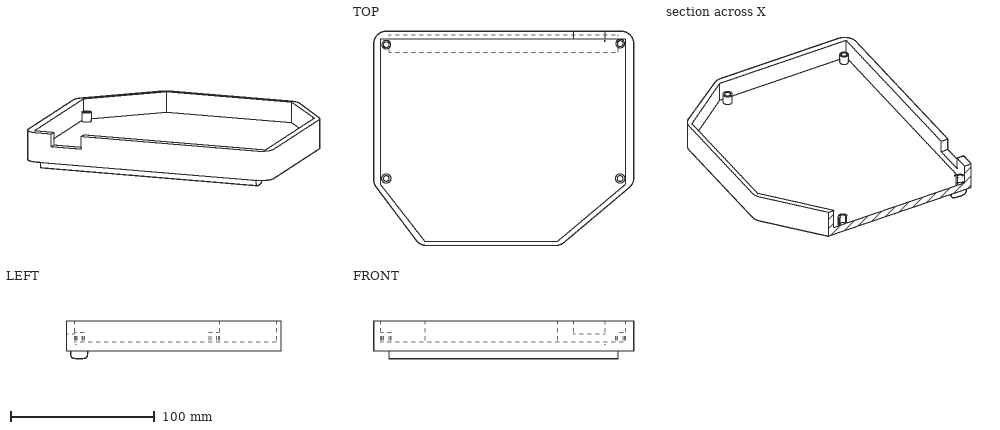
import cadquery as cq

length = 181.2
depth = 149.4
body_height = 21.0
floor_thickness = 6.3
corner_radius = 9.0

slant_start_y = 43.1
front_left_x = 32.5
front_right_x = 130.0

pocket_left = 4.7
pocket_right = 175.5
pocket_back = 144.0
pocket_front = 3.0
pocket_slant_start_y = 42.8
pocket_front_left_x = 35.7
pocket_front_right_x = 128.1

notch_left = 139.0
notch_right = 161.1
notch_depth = 9.0

post_height = 6.5
post_hole_diameter = 4.0
post_left_x = 8.9
post_right_x = 171.6
post_front_y = 46.8
post_back_left_y = 140.0
post_back_right_y = 140.6
back_post_diameter = 6.0
front_post_diameter = 6.5
posts = [
    (post_left_x, post_back_left_y, back_post_diameter),
    (post_right_x, post_back_right_y, back_post_diameter),
    (post_left_x, post_front_y, front_post_diameter),
    (post_right_x, post_front_y, front_post_diameter),
]

foot_left = 10.7
foot_length = 159.5
foot_front_y = 134.5
foot_width = 12.0
foot_height = 5.5
foot_side_pull = 4.4

pin_hole_diameter = 0.5
pin_hole_depth = 1.8
pin_hole_x = 161.0
pin_hole_y = 142.5


def make_body():
    outline = [
        (0, depth),
        (0, slant_start_y),
        (front_left_x, 0),
        (front_right_x, 0),
        (length, slant_start_y),
        (length, depth),
    ]
    body = cq.Workplane("XY").polyline(outline).close().extrude(body_height)
    return body.edges("|Z").fillet(corner_radius)


def make_pocket():
    outline = [
        (pocket_left, pocket_back),
        (pocket_left, pocket_slant_start_y),
        (pocket_front_left_x, pocket_front),
        (pocket_front_right_x, pocket_front),
        (pocket_right, pocket_slant_start_y),
        (pocket_right, pocket_back),
    ]
    pocket = cq.Workplane("XY").workplane(offset=floor_thickness)
    return pocket.polyline(outline).close().extrude(body_height - floor_thickness)


def make_notch():
    notch_length = notch_right - notch_left
    back_wall = depth - pocket_back
    notch = cq.Workplane("XY").box(notch_length, back_wall, notch_depth, centered=False)
    return notch.translate((notch_left, pocket_back, body_height - notch_depth))


def make_post(x, y, diameter):
    ring = cq.Workplane("XY").circle(diameter / 2).circle(post_hole_diameter / 2)
    post = ring.extrude(post_height)
    return post.translate((x, y, floor_thickness))


def make_foot():
    half_width = foot_width / 2
    rear_top = (half_width, 0)
    rear_side_pull = (half_width, -foot_side_pull)
    rear_bottom_pull = (half_width, -foot_height)
    bottom = (0, -foot_height)
    front_bottom_pull = (-half_width, -foot_height)
    front_side_pull = (-half_width, -foot_side_pull)
    front_top = (-half_width, 0)
    foot = (
        cq.Workplane("YZ")
        .moveTo(*front_top)
        .bezier([front_top, front_side_pull, front_bottom_pull, bottom])
        .bezier([bottom, rear_bottom_pull, rear_side_pull, rear_top])
        .close()
        .extrude(foot_length)
    )
    return foot.translate((foot_left, foot_front_y + half_width, 0))


def make_pin_hole():
    hole = cq.Workplane("XY").circle(pin_hole_diameter / 2).extrude(pin_hole_depth)
    return hole.translate((pin_hole_x, pin_hole_y, floor_thickness - pin_hole_depth))


result = make_body().cut(make_pocket()).cut(make_notch()).cut(make_pin_hole())
for x, y, diameter in posts:
    result = result.union(make_post(x, y, diameter))
result = result.union(make_foot())